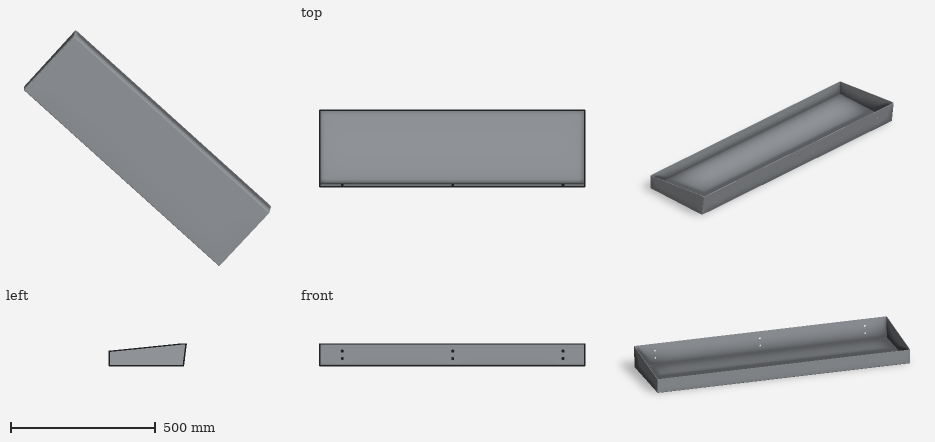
import cadquery as cq
import math

sheet = 1.5875
pan_length = 914.4
overall_depth = 266.22
front_height = 76.2
back_height = 50.8
front_slope = 1 / 8
bend_radius = 0.9
level_depth = 14.6
hole_diameter = 6.35
hole_spacing = 381.0
hole_shift = sheet
hole_heights = (25.4, 50.8)

lean_angle = math.atan(front_slope)
lip_y = -overall_depth / 2
lip_drop = sheet * math.sin(lean_angle)
lip_z = front_height - lip_drop
foot_y = lip_y + lip_z * front_slope
back_y = overall_depth / 2
back_inner_y = back_y - sheet
wall_depth = sheet / math.cos(lean_angle)


def front_outer_y(z):
    """Y of the front wall's outer face at height z."""
    return foot_y - z * front_slope


def front_inner_y(z):
    """Y of the front wall's inner face at height z."""
    return front_outer_y(z) + wall_depth


def extrude_profile(outline, start_x, length):
    """Extrude a closed (Y, Z) outline along +X from start_x."""
    plane = cq.Workplane("YZ", origin=(start_x, 0, 0))
    return plane.polyline(outline).close().extrude(length)


def round_corners_at(body, z, radius):
    """Round the edges along X that lie at height z."""
    half_band = sheet / 2
    band = cq.selectors.BoxSelector(
        (-pan_length, 2 * lip_y, z - half_band),
        (pan_length, 2 * back_y, z + half_band),
    )
    return body.edges("|X").edges(band).fillet(radius)


def make_hole_cutters():
    """Cylinders square to the front wall, one per hole."""
    inward = cq.Vector(0, math.cos(lean_angle), math.sin(lean_angle))
    reach = 4 * sheet
    cutters = cq.Workplane("XY")
    for column in (-1, 0, 1):
        for height in hole_heights:
            x = column * hole_spacing + hole_shift
            centre = cq.Vector(x, front_outer_y(height), height)
            start = centre - inward * (reach / 2)
            cutters = cutters.add(cq.Solid.makeCylinder(hole_diameter / 2, reach, start, inward))
    return cutters.combine()


def make_pan():
    """Floor, leaning front wall and upright back wall bent from one sheet."""
    outline = [
        (lip_y, lip_z),
        (foot_y, 0),
        (back_y, 0),
        (back_y, back_height),
        (back_inner_y, back_height),
        (back_inner_y, sheet),
        (front_inner_y(sheet), sheet),
        (front_inner_y(front_height), front_height),
    ]
    pan = extrude_profile(outline, -pan_length / 2, pan_length)
    pan = round_corners_at(pan, 0, bend_radius + sheet)
    pan = round_corners_at(pan, sheet, bend_radius)
    return pan.cut(make_hole_cutters())


def make_end_plate(start_x):
    """Flat plate against a pan end, its edges in line with the pan's inner faces."""
    outline = [
        (front_inner_y(front_height), front_height),
        (front_inner_y(sheet), sheet),
        (back_inner_y, sheet),
        (back_inner_y, back_height),
        (lip_y + level_depth, front_height),
    ]
    plate = extrude_profile(outline, start_x, sheet)
    return round_corners_at(plate, sheet, bend_radius)


pan = make_pan()
end_plates = [make_end_plate(start_x) for start_x in (-pan_length / 2 - sheet, pan_length / 2)]

result = cq.Compound.makeCompound([pan.val(), *[plate.val() for plate in end_plates]])